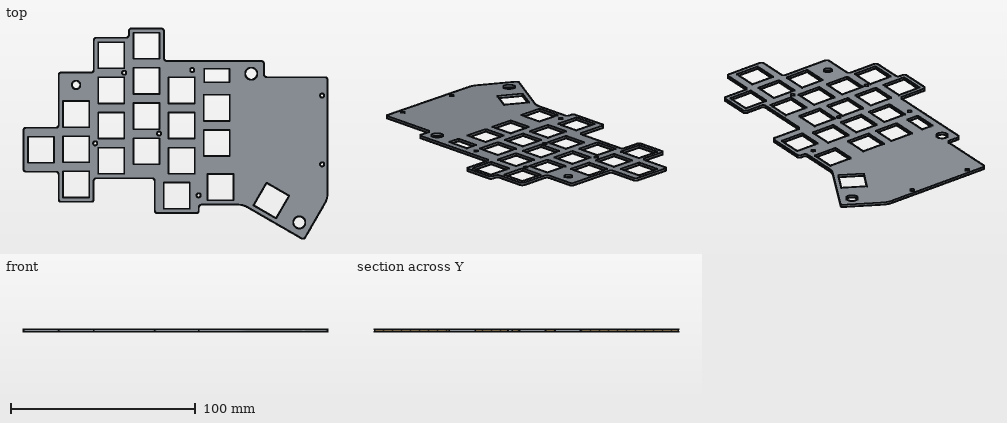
import cadquery as cq
import math

length = 164.5
width = 113.8
thickness = 1.5

key_cutout = 14.0
column_gaps = 5
grid_span = 95.0
pitch = grid_span / column_gaps
cell_half = pitch / 2
tall_rim = 5.0
tall_half = key_cutout / 2 + tall_rim

outer_column = (48.2, 1)
pinky_column = (29.5, 3)
ring_column = (42.3, 4)
middle_column = (47.4, 4)
index_column = (42.3, 3)
inner_column = (51.8, 2)
columns = [outer_column, pinky_column, ring_column, middle_column, index_column, inner_column]

left_thumb = (82.9, 23.4)
middle_thumb = (106.6, 28.0)
right_thumb = (134.0, 20.7)
thumb_slant = 30.0

window_length = 13.5
window_width = 7.0
window_y = 88.3

screw_diameter = 2.1
screw_centers = [
    (54.5, 89.8),
    (91.3, 91.3),
    (73.4, 56.9),
    (38.8, 51.7),
    (94.8, 23.5),
    (161.5, 77.5),
    (161.5, 40.3),
]
post_diameter = 4.5
post_y = 83.2
standoff_diameter = 6.4
standoff_centers = [(123.2, 89.3), (149.2, 8.9)]

pinky_top = 90.0
controller_top = 96.2
controller_right = 130.1
board_top = 87.5
thumb_step_x = 94.9
tip_x = 151.7
corner_radius = 1.5
bend_radius = 9.9


def column_x(index):
    return cell_half + index * pitch


def key_y(column, row):
    lowest, _ = column
    return lowest + row * pitch


def side_x(index):
    """Left side of the cell around a column of keys."""
    return column_x(index) - cell_half


def key_centers():
    centers = [left_thumb, middle_thumb]
    for index, column in enumerate(columns):
        centers += [(column_x(index), key_y(column, row)) for row in range(column[1])]
    return centers


def make_blank():
    """Plate outline with rounded corners and no cutouts."""
    slant = math.radians(thumb_slant)
    tip_y = corner_radius * (1 - math.cos(slant) - math.sin(slant))
    thumb_bottom = middle_thumb[1] - cell_half
    lower_bend = (tip_x - (thumb_bottom - tip_y) / math.tan(slant), thumb_bottom)
    right_bend = (length, tip_y + (length - tip_x) / math.tan(slant))

    outer_y = outer_column[0]
    pinky_bottom = pinky_column[0] - cell_half
    ring_bottom = ring_column[0] - cell_half
    ring_top = key_y(ring_column, ring_column[1] - 1) + cell_half
    left_thumb_side = left_thumb[0] - tall_half
    left_thumb_bottom = left_thumb[1] - cell_half

    corners = [
        (0, outer_y - tall_half),
        (0, outer_y + tall_half),
        (side_x(1), outer_y + tall_half),
        (side_x(1), pinky_top),
        (side_x(2), pinky_top),
        (side_x(2), ring_top),
        (side_x(3), ring_top),
        (side_x(3), width),
        (side_x(4), width),
        (side_x(4), controller_top),
        (controller_right, controller_top),
        (controller_right, board_top),
        (length, board_top),
        right_bend,
        (tip_x, tip_y),
        lower_bend,
        (thumb_step_x, thumb_bottom),
        (thumb_step_x, left_thumb_bottom),
        (left_thumb_side, left_thumb_bottom),
        (left_thumb_side, ring_bottom),
        (side_x(2), ring_bottom),
        (side_x(2), pinky_bottom),
        (side_x(1), pinky_bottom),
        (side_x(1), outer_y - tall_half),
    ]
    blank = cq.Workplane("XY").polyline(corners).close().extrude(thickness)
    bends = (lower_bend, right_bend)
    for corner in corners:
        radius = bend_radius if corner in bends else corner_radius
        edge = cq.selectors.NearestToPointSelector((*corner, thickness / 2))
        blank = blank.edges("|Z").edges(edge).fillet(radius)
    return blank


def make_key_cutouts():
    upright = (
        cq.Workplane("XY")
        .pushPoints(key_centers())
        .rect(key_cutout, key_cutout)
        .extrude(thickness)
    )
    turned = (
        cq.Workplane("XY")
        .center(*right_thumb)
        .transformed(rotate=(0, 0, -thumb_slant))
        .rect(key_cutout, key_cutout)
        .extrude(thickness)
    )
    return upright.union(turned)


def make_window():
    center = (column_x(column_gaps), window_y)
    return cq.Workplane("XY").center(*center).rect(window_length, window_width).extrude(thickness)


def make_holes(centers, diameter):
    return cq.Workplane("XY").pushPoints(centers).circle(diameter / 2).extrude(thickness)


result = (
    make_blank()
    .cut(make_key_cutouts())
    .cut(make_window())
    .cut(make_holes(screw_centers, screw_diameter))
    .cut(make_holes([(column_x(1), post_y)], post_diameter))
    .cut(make_holes(standoff_centers, standoff_diameter))
)